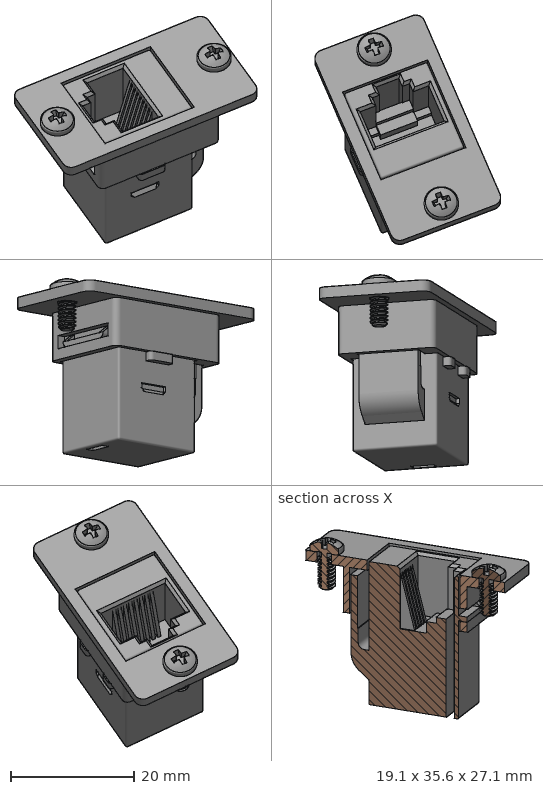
import cadquery as cq
import math


PLATE_X, PLATE_Y, PLATE_T = 19.05, 35.56, 1.85
PLATE_CORNER_R = 1.52
SCREW_PITCH = 28.9
SCREW_HOLE_D = 3.17

SHROUD_X, SHROUD_Y = 16.76, 22.2
SHROUD_BOTTOM = -9.79
SHROUD_CORNER_R = 1.05
HOOK_SLOT_X = 12.67
HOOK_SLOT_TOP, HOOK_SLOT_BOTTOM = -5.8, -7.98

JACK_X, JACK_Y = 14.49, 16.08
JACK_CENTER_Y = -1.48
JACK_TOP, JACK_BOTTOM = -0.2, -25.09
JACK_EDGE_R = 0.37
JACK_FRONT = JACK_CENTER_Y - JACK_Y / 2
JACK_BACK = JACK_CENTER_Y + JACK_Y / 2

CLEARANCE = 0.19
WINDOW_X = JACK_X + 2 * CLEARANCE
WINDOW_Y = JACK_Y + 2 * CLEARANCE
WINDOW_BACK = JACK_CENTER_Y + WINDOW_Y / 2

SOCKET_CHAMFER = 0.5
SOCKET_FLOOR = -11.0
CAVITY_X, CAVITY_BACK, CAVITY_FRONT = 12.0, 0.92, -5.72
KEYWAY_X, KEYWAY_FRONT = 6.5, -7.22
CHANNEL_X, CHANNEL_FRONT = 3.96, -8.72

LEDGE_BACK, LEDGE_TOP = -4.49, -10.0
BLOCK_BACK, BLOCK_MIDDLE, BLOCK_FRONT = -3.7, -5.52, -7.33
BLOCK_LOW_TOP, BLOCK_HIGH_TOP = -9.0, -8.0

CONTACT_COUNT, CONTACT_PITCH, CONTACT_W = 8, 1.0, 0.6
CONTACT_TOP, CONTACT_FRONT = -1.53, -1.6

TAB_BOTTOM, TAB_REACH, TAB_CORNER_R = -11.28, 8.61, 0.6
LEFT_TAB_Y, LEFT_TAB_OFFSET = 2.55, 3.74
RIGHT_TAB_Y = 4.81

RECESS_Y, RECESS_CENTER_Y, RECESS_DEPTH = 5.05, -2.21, 0.58
RECESS_TOP, RECESS_SLOPE_TOP = -15.0, -15.82

HOOK_X, HOOK_CORNER_R = 10.16, 0.88
HOOK_FRONT = -SHROUD_Y / 2
LIP_TOP = -7.07
GUSSET_W = 1.03

LATCH_X = HOOK_X
LATCH_TOP = -3.0
LATCH_OUTER_Y = 9.74
LATCH_INNER_TOP_Y, LATCH_INNER_Y = 8.47, 8.35
LATCH_STEP_Z = -12.1
LATCH_ROOT_TOP, LATCH_BEND_START, LATCH_ROOT_BOTTOM = -15.6, -16.4, -20.77
LATCH_BEND_END = (7.9, -19.69)
LATCH_INNER_R = 1.0
LATCH_SIDE_GAP = 0.2

HEAD_D, HEAD_H = 5.56, 2.03
HEAD_DOME_R, HEAD_DOME_Z = 2.57, 1.08
HEAD_RIM_TOP, HEAD_RIM_BOTTOM = 0.8, 0.26
THREAD_D, THREAD_ROOT_D, THREAD_PITCH = 2.9, 2.2, 0.635
THREAD_BASE_W, THREAD_CREST_W = 0.46, 0.08
THREAD_TOP, SCREW_TIP = -0.8, -6.39
TIP_D = 1.94
CROSS_DEPTH, CROSS_ARM_W = 1.3, 0.86
CROSS_SPAN_TOP, CROSS_SPAN_FLOOR = 3.12, 2.1
CROSS_HUB_W = 1.0

OVERLAP = 0.2
THREAD_OVERLAP = 0.05


def box(x0, x1, y0, y1, z0, z1):
    return cq.Workplane("XY").box(x1 - x0, y1 - y0, z1 - z0, centered=False).translate((x0, y0, z0))


def centered_box(width, y0, y1, z0, z1):
    return box(-width / 2, width / 2, y0, y1, z0, z1)


def side_prism(points, width, center_x=0.0):
    """Closed (Y, Z) outline extruded along X, centred on center_x."""
    prism = cq.Workplane("YZ").polyline(points).close().extrude(width / 2, both=True)
    return prism.translate((center_x, 0, 0))


def make_bezel():
    plate = centered_box(PLATE_X, -PLATE_Y / 2, PLATE_Y / 2, -PLATE_T, 0)
    plate = plate.edges("|Z").fillet(PLATE_CORNER_R)
    shroud = centered_box(SHROUD_X, -SHROUD_Y / 2, SHROUD_Y / 2, SHROUD_BOTTOM, -PLATE_T)
    shroud = shroud.edges("|Z").fillet(SHROUD_CORNER_R)
    bezel = plate.union(shroud)

    window = centered_box(WINDOW_X, WINDOW_BACK - WINDOW_Y, WINDOW_BACK, SHROUD_BOTTOM, 0)
    latch_pocket = centered_box(
        LATCH_X + 2 * LATCH_SIDE_GAP, JACK_CENTER_Y, LATCH_OUTER_Y + LATCH_SIDE_GAP, SHROUD_BOTTOM, -PLATE_T
    )
    hook_slot = centered_box(
        HOOK_SLOT_X, -SHROUD_Y / 2, JACK_CENTER_Y, HOOK_SLOT_BOTTOM, HOOK_SLOT_TOP
    )
    screw_holes = (
        cq.Workplane("XY")
        .pushPoints([(0, -SCREW_PITCH / 2), (0, SCREW_PITCH / 2)])
        .circle(SCREW_HOLE_D / 2)
        .extrude(-PLATE_T)
    )
    return bezel.cut(window).cut(latch_pocket).cut(hook_slot).cut(screw_holes)


def socket_outline(margin):
    """Stepped socket opening, grown outward by margin, as (X, Y) points."""
    cavity = CAVITY_X / 2 + margin
    keyway = KEYWAY_X / 2 + margin
    channel = CHANNEL_X / 2 + margin
    right_side = [
        (cavity, CAVITY_BACK + margin),
        (cavity, CAVITY_FRONT - margin),
        (keyway, CAVITY_FRONT - margin),
        (keyway, KEYWAY_FRONT - margin),
        (channel, KEYWAY_FRONT - margin),
        (channel, CHANNEL_FRONT - margin),
    ]
    left_side = [(-x, y) for x, y in reversed(right_side)]
    return right_side + left_side


def make_socket():
    """Volume removed from the jack for the plug."""
    pocket = (
        cq.Workplane("XY", origin=(0, 0, SOCKET_FLOOR))
        .polyline(socket_outline(0))
        .close()
        .extrude(JACK_TOP - SOCKET_FLOOR)
    )
    mouth = (
        cq.Workplane("XY", origin=(0, 0, JACK_TOP))
        .polyline(socket_outline(SOCKET_CHAMFER))
        .close()
        .workplane(offset=-SOCKET_CHAMFER)
        .polyline(socket_outline(0))
        .close()
        .loft(ruled=True)
    )
    channel = centered_box(CHANNEL_X, CHANNEL_FRONT, BLOCK_FRONT, JACK_BOTTOM, SOCKET_FLOOR + OVERLAP)
    ledge = centered_box(CAVITY_X, CAVITY_FRONT, LEDGE_BACK, SOCKET_FLOOR, LEDGE_TOP)
    low_block = centered_box(KEYWAY_X, BLOCK_MIDDLE, BLOCK_BACK, SOCKET_FLOOR, BLOCK_LOW_TOP)
    high_block = centered_box(KEYWAY_X, BLOCK_FRONT, BLOCK_MIDDLE, SOCKET_FLOOR, BLOCK_HIGH_TOP)
    socket = pocket.union(mouth).union(channel)
    socket = socket.cut(ledge).cut(low_block).cut(high_block)
    for index in range(CONTACT_COUNT):
        x = (index - (CONTACT_COUNT - 1) / 2) * CONTACT_PITCH
        contact_profile = [
            (CAVITY_BACK, CONTACT_TOP),
            (CONTACT_FRONT, SOCKET_FLOOR),
            (CAVITY_BACK, SOCKET_FLOOR),
        ]
        socket = socket.cut(side_prism(contact_profile, CONTACT_W, x))
    return socket


def make_tab(side, center_y, length):
    """Stop tab on the +X (side = 1) or -X (side = -1) face."""
    inner = side * (JACK_X / 2 - OVERLAP)
    outer = side * TAB_REACH
    tab = box(
        min(inner, outer), max(inner, outer),
        center_y - length / 2, center_y + length / 2,
        TAB_BOTTOM, SHROUD_BOTTOM,
    )
    outer_face = ">X" if side > 0 else "<X"
    return tab.faces(outer_face).edges("|Z").fillet(TAB_CORNER_R)


def make_recess(side):
    """Side recess: chamfered lower corners and a 45 degree lower face."""
    bottom = RECESS_SLOPE_TOP - RECESS_DEPTH
    face_x = side * JACK_X / 2
    floor_x = side * (JACK_X / 2 - RECESS_DEPTH)
    y0 = RECESS_CENTER_Y - RECESS_Y / 2
    y1 = RECESS_CENTER_Y + RECESS_Y / 2
    outline = [
        (y0, RECESS_TOP),
        (y0, RECESS_SLOPE_TOP),
        (y0 + RECESS_DEPTH, bottom),
        (y1 - RECESS_DEPTH, bottom),
        (y1, RECESS_SLOPE_TOP),
        (y1, RECESS_TOP),
    ]
    opening = side_prism(outline, 2 * RECESS_DEPTH, face_x)
    slope = (
        cq.Workplane("XZ", origin=(0, y1, 0))
        .polyline([
            (face_x, RECESS_TOP),
            (floor_x, RECESS_TOP),
            (floor_x, RECESS_SLOPE_TOP),
            (face_x, bottom),
        ])
        .close()
        .extrude(RECESS_Y)
    )
    return opening.intersect(slope)


def make_hook():
    """Rounded lip with a sloped gusset at each end."""
    root = JACK_FRONT + OVERLAP
    lip = centered_box(HOOK_X, HOOK_FRONT, root, HOOK_SLOT_BOTTOM, LIP_TOP)
    lip = lip.edges("|Y and <Z").fillet(HOOK_CORNER_R)
    gusset_profile = [
        (HOOK_FRONT, LIP_TOP),
        (JACK_FRONT, HOOK_SLOT_TOP),
        (root, HOOK_SLOT_TOP),
        (root, LIP_TOP),
    ]
    hook = lip
    for side in (-1, 1):
        gusset_x = side * (HOOK_X - GUSSET_W) / 2
        hook = hook.union(side_prism(gusset_profile, GUSSET_W, gusset_x))
    return hook


def make_latch():
    """Spring arm rising beside the jack from a curved root."""
    root = JACK_BACK - OVERLAP
    return (
        cq.Workplane("YZ", origin=(-LATCH_X / 2, 0, 0))
        .moveTo(LATCH_INNER_TOP_Y, LATCH_TOP)
        .lineTo(LATCH_OUTER_Y, LATCH_TOP)
        .lineTo(LATCH_OUTER_Y, LATCH_BEND_START)
        .tangentArcPoint(LATCH_BEND_END, relative=False)
        .lineTo(JACK_BACK, LATCH_ROOT_BOTTOM)
        .lineTo(root, LATCH_ROOT_BOTTOM)
        .lineTo(root, LATCH_ROOT_TOP)
        .lineTo(LATCH_INNER_Y - LATCH_INNER_R, LATCH_ROOT_TOP)
        .tangentArcPoint((LATCH_INNER_Y, LATCH_ROOT_TOP + LATCH_INNER_R), relative=False)
        .lineTo(LATCH_INNER_Y, LATCH_STEP_Z)
        .lineTo(LATCH_INNER_TOP_Y, LATCH_STEP_Z)
        .close()
        .extrude(LATCH_X)
    )


def make_jack():
    jack = centered_box(JACK_X, JACK_FRONT, JACK_BACK, JACK_BOTTOM, JACK_TOP)
    jack = jack.edges().fillet(JACK_EDGE_R)
    jack = jack.union(make_hook()).union(make_latch())
    for offset in (-LEFT_TAB_OFFSET, LEFT_TAB_OFFSET):
        jack = jack.union(make_tab(-1, JACK_CENTER_Y + offset, LEFT_TAB_Y))
    jack = jack.union(make_tab(1, JACK_CENTER_Y, RIGHT_TAB_Y))
    for side in (-1, 1):
        jack = jack.cut(make_recess(side))
    return jack.cut(make_socket())


def make_head():
    """Pan head turned about Z: rounded rim edges and a shallow dome."""
    rim_r = HEAD_D / 2
    dome_rise = HEAD_H - HEAD_DOME_Z
    dome_sphere_r = (HEAD_DOME_R**2 + dome_rise**2) / (2 * dome_rise)
    half_r = HEAD_DOME_R / 2
    half_z = HEAD_H - dome_sphere_r + math.sqrt(dome_sphere_r**2 - half_r**2)
    profile = (
        cq.Workplane("XZ")
        .lineTo(HEAD_DOME_R, 0)
        .radiusArc((rim_r, HEAD_RIM_BOTTOM), -HEAD_RIM_BOTTOM)
        .lineTo(rim_r, HEAD_RIM_TOP)
        .radiusArc((HEAD_DOME_R, HEAD_DOME_Z), -(HEAD_DOME_Z - HEAD_RIM_TOP))
        .threePointArc((half_r, half_z), (0, HEAD_H))
        .close()
    )
    return profile.revolve(360, (0, 0, 0), (0, 1, 0))


def make_cross():
    """Phillips recess: two crossed arms with sloped ends around a square hub."""
    floor = HEAD_H - CROSS_DEPTH
    arm = (
        cq.Workplane("XZ")
        .polyline([
            (-CROSS_SPAN_TOP / 2, HEAD_H),
            (-CROSS_SPAN_FLOOR / 2, floor),
            (CROSS_SPAN_FLOOR / 2, floor),
            (CROSS_SPAN_TOP / 2, HEAD_H),
        ])
        .close()
        .extrude(CROSS_ARM_W / 2, both=True)
    )
    hub = centered_box(CROSS_HUB_W, -CROSS_HUB_W / 2, CROSS_HUB_W / 2, floor, HEAD_H)
    return arm.union(arm.rotate((0, 0, 0), (0, 0, 1), 90)).union(hub)


def make_threaded_shank():
    """Right-hand helical thread on a round core, trimmed to a conical tip."""
    core = cq.Workplane("XY").circle(THREAD_ROOT_D / 2).extrude(SCREW_TIP)
    root_r = THREAD_ROOT_D / 2 - THREAD_OVERLAP
    crest_r = THREAD_D / 2
    start = SCREW_TIP - THREAD_PITCH
    helix = cq.Wire.makeHelix(THREAD_PITCH, THREAD_TOP - start, THREAD_ROOT_D / 2)
    ridge = (
        cq.Workplane("XZ")
        .polyline([
            (root_r, -THREAD_BASE_W / 2),
            (crest_r, -THREAD_CREST_W / 2),
            (crest_r, THREAD_CREST_W / 2),
            (root_r, THREAD_BASE_W / 2),
        ])
        .close()
        .sweep(cq.Workplane(helix), isFrenet=True)
        .translate((0, 0, start))
    )
    tip_chamfer = (THREAD_D - TIP_D) / 2
    envelope = cq.Workplane("XY").circle(crest_r + OVERLAP).extrude(SCREW_TIP)
    envelope = envelope.faces("<Z").chamfer(tip_chamfer + OVERLAP)
    return core.union(ridge).intersect(envelope)


def make_screw(center_y):
    screw = make_head().cut(make_cross()).union(make_threaded_shank())
    return screw.translate((0, center_y, 0))


bezel = make_bezel()
jack = make_jack()
screws = [make_screw(side * SCREW_PITCH / 2) for side in (-1, 1)]

bodies = [bezel, jack, *screws]
result = cq.Compound.makeCompound([body.solids().val() for body in bodies])